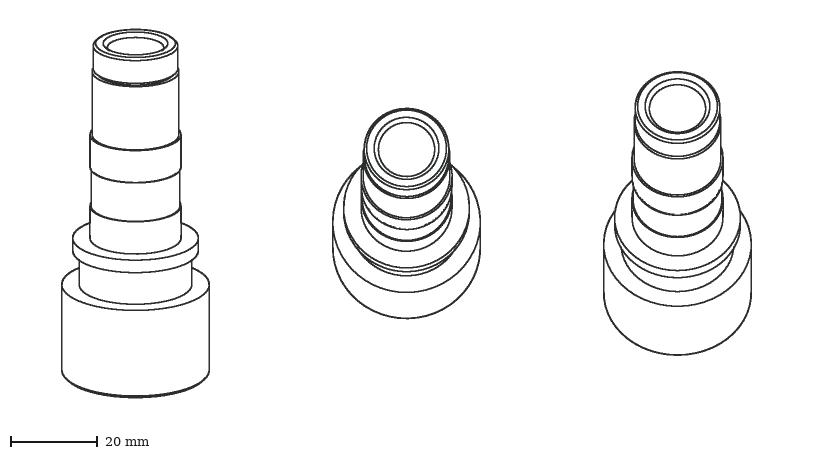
import cadquery as cq

total_height = 81.0

base_diameter = 34.0
neck_diameter = 26.0
flange_diameter = 29.0
collar_diameter = 21.0
waist_diameter = 20.5
shaft_diameter = 20.0
groove_diameter = 18.0
head_diameter = 19.5

base_top = 21.7
flange_bottom = 30.05
flange_top = 33.1
waist_bottom = 41.1
waist_top = 50.6
shaft_bottom = 58.6
groove_bottom = 74.1
groove_top = 74.85

base_chamfer = 0.65
head_chamfer = 0.6

recess_mouth_diameter = 14.9
recess_floor_diameter = 13.0
recess_depth = 1.0

steps = [
    (base_diameter, base_top),
    (neck_diameter, flange_bottom),
    (flange_diameter, flange_top),
    (collar_diameter, waist_bottom),
    (waist_diameter, waist_top),
    (collar_diameter, shaft_bottom),
    (shaft_diameter, groove_bottom),
    (groove_diameter, groove_top),
    (head_diameter, total_height),
]


def stepped_body():
    """Stack the coaxial cylinders and chamfer the two end faces."""
    body = cq.Workplane("XY")
    bottom = 0.0
    for diameter, top in steps:
        step = cq.Workplane("XY").workplane(offset=bottom).circle(diameter / 2).extrude(top - bottom)
        body = body.union(step)
        bottom = top
    body = body.faces("<Z").edges().chamfer(base_chamfer)
    return body.faces(">Z").edges().chamfer(head_chamfer)


def top_recess():
    """Shallow cone frustum that narrows downwards from the top face."""
    return (
        cq.Workplane("XY")
        .workplane(offset=total_height - recess_depth)
        .circle(recess_floor_diameter / 2)
        .workplane(offset=recess_depth)
        .circle(recess_mouth_diameter / 2)
        .loft(ruled=True)
    )


result = stepped_body().cut(top_recess())